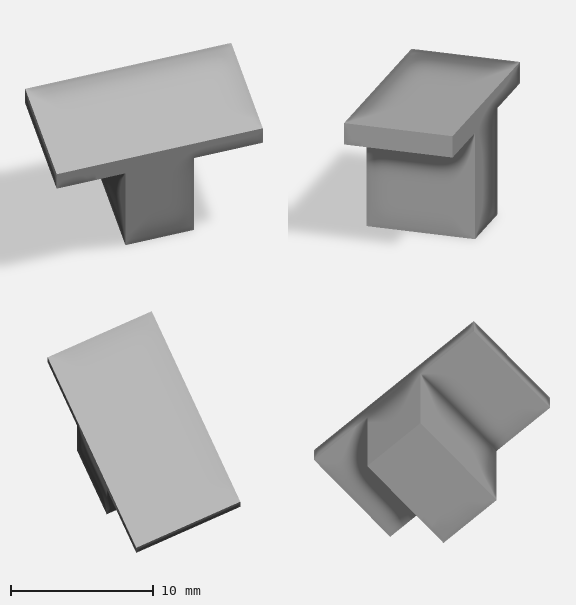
import cadquery as cq

width = 8.0
plate_length = 15.0
plate_thickness = 1.6
stem_length = 5.0
total_height = 9.6
stem_height = total_height - plate_thickness

stem = cq.Workplane("XY").box(width, stem_length, stem_height, centered=(True, True, False))

plate = (
    cq.Workplane("XY")
    .workplane(offset=stem_height)
    .box(width, plate_length, plate_thickness, centered=(True, True, False))
)

result = stem.union(plate)